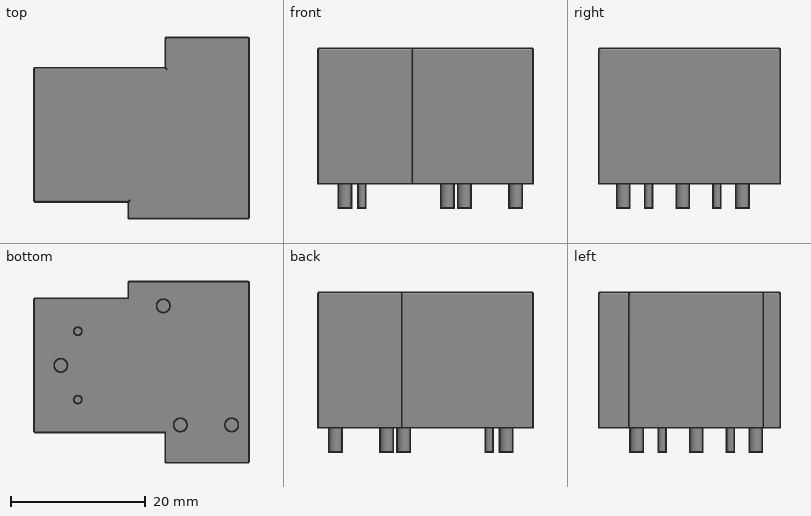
import cadquery as cq

LENGTH = 32.0
WIDTH = 27.0
TOTAL_HEIGHT = 23.8
PIN_LENGTH = 3.6
BODY_HEIGHT = TOTAL_HEIGHT - PIN_LENGTH
EDGE_RADIUS = 0.3

FRONT_EAR_START = 14.0
FRONT_EAR_DEPTH = 2.5
BACK_EAR_START = 19.5
BACK_EAR_DEPTH = 4.5

BLOCK_FRONT = FRONT_EAR_DEPTH
BLOCK_BACK = WIDTH - BACK_EAR_DEPTH
BLOCK_CENTER = (BLOCK_FRONT + BLOCK_BACK) / 2

GRID = 2.54
COMMON_X = 4.0
COIL_X = COMMON_X + GRID
FRONT_CONTACT_X = COMMON_X + 6 * GRID
BACK_INNER_CONTACT_X = COMMON_X + 7 * GRID
BACK_OUTER_CONTACT_X = COMMON_X + 10 * GRID

CONTACT_OFFSET = 8.85
COIL_OFFSET = 2 * GRID
CONTACT_DIAMETER = 2.0
COIL_DIAMETER = 1.2

CONTACT_POINTS = [
    (COMMON_X, BLOCK_CENTER),
    (FRONT_CONTACT_X, BLOCK_CENTER - CONTACT_OFFSET),
    (BACK_INNER_CONTACT_X, BLOCK_CENTER + CONTACT_OFFSET),
    (BACK_OUTER_CONTACT_X, BLOCK_CENTER + CONTACT_OFFSET),
]
COIL_POINTS = [(COIL_X, BLOCK_CENTER + side * COIL_OFFSET) for side in (-1, 1)]


def make_housing():
    """Extruded stepped outline with a rounded top rim and rounded outer corners."""
    front_inner_corner = (FRONT_EAR_START, BLOCK_FRONT)
    back_inner_corner = (BACK_EAR_START, BLOCK_BACK)
    outline = [
        (0, BLOCK_FRONT),
        front_inner_corner,
        (FRONT_EAR_START, 0),
        (LENGTH, 0),
        (LENGTH, WIDTH),
        (BACK_EAR_START, WIDTH),
        back_inner_corner,
        (0, BLOCK_BACK),
    ]
    block = cq.Workplane("XY").polyline(outline).close().extrude(BODY_HEIGHT)

    rounded_edges = block.faces(">Z").edges()
    for x, y in outline:
        if (x, y) not in (front_inner_corner, back_inner_corner):
            corner = cq.selectors.NearestToPointSelector((x, y, BODY_HEIGHT / 2))
            rounded_edges = rounded_edges.add(block.edges("|Z").edges(corner))
    return rounded_edges.fillet(EDGE_RADIUS)


def make_pins(points, diameter):
    """Round pins hanging below the base."""
    return cq.Workplane("XY").pushPoints(points).circle(diameter / 2).extrude(-PIN_LENGTH)


contact_pins = make_pins(CONTACT_POINTS, CONTACT_DIAMETER)
coil_pins = make_pins(COIL_POINTS, COIL_DIAMETER)
result = make_housing().union(contact_pins).union(coil_pins)